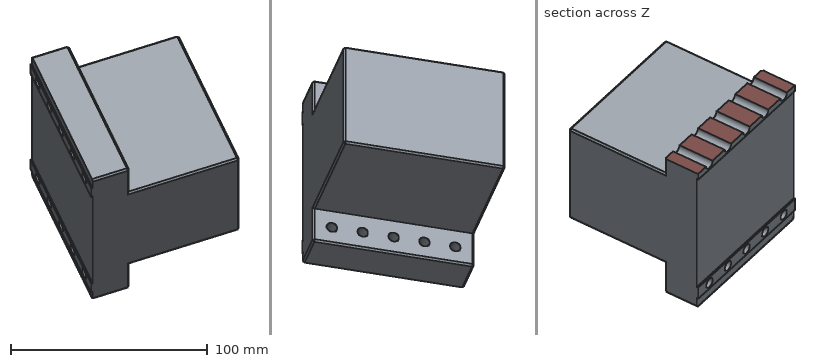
import cadquery as cq

width = 85.0
height = 100.0
flange_depth = 20.0
block_depth = 60.0
block_height = 60.0
chamfer = 1.0
strip_height = 7.5
strip_thickness = 0.8
hole_diameter = 5.5
holes_per_row = 5
hole_edge_distance = 10.0

body_depth = flange_depth + block_depth
row_z = height / 2 - hole_edge_distance
hole_pitch = (width - 2 * hole_edge_distance) / (holes_per_row - 1)


def make_body():
    """T-shaped body, chamfered everywhere but at its front face and inner corners."""
    flange_top = height / 2
    block_top = block_height / 2
    body = (
        cq.Workplane("YZ")
        .moveTo(0, -flange_top)
        .lineTo(flange_depth, -flange_top)
        .lineTo(flange_depth, -block_top)
        .lineTo(body_depth, -block_top)
        .lineTo(body_depth, block_top)
        .lineTo(flange_depth, block_top)
        .lineTo(flange_depth, flange_top)
        .lineTo(0, flange_top)
        .close()
        .extrude(width / 2, both=True)
    )
    inner_corners = cq.selectors.BoxSelector(
        (-chamfer, flange_depth - chamfer, -block_top - chamfer),
        (chamfer, flange_depth + chamfer, block_top + chamfer),
    )
    chamfered_edges = (
        cq.selectors.StringSyntaxSelector("not(<Y)") - inner_corners
    )
    return body.edges(chamfered_edges).chamfer(chamfer)


def make_strip(z):
    """Raised strip across the front face, centred on a hole row."""
    return (
        cq.Workplane("XY")
        .box(width, strip_thickness, strip_height)
        .translate((0, -strip_thickness / 2, z))
    )


def make_hole_rows():
    """Cylinders for both rows of holes through the strips and the flange."""
    return (
        cq.Workplane("XZ", origin=(0, -strip_thickness, 0))
        .rarray(hole_pitch, 2 * row_z, holes_per_row, 2)
        .circle(hole_diameter / 2)
        .extrude(-(strip_thickness + flange_depth))
    )


result = make_body()
for strip_z in (-row_z, row_z):
    result = result.union(make_strip(strip_z))
result = result.cut(make_hole_rows())